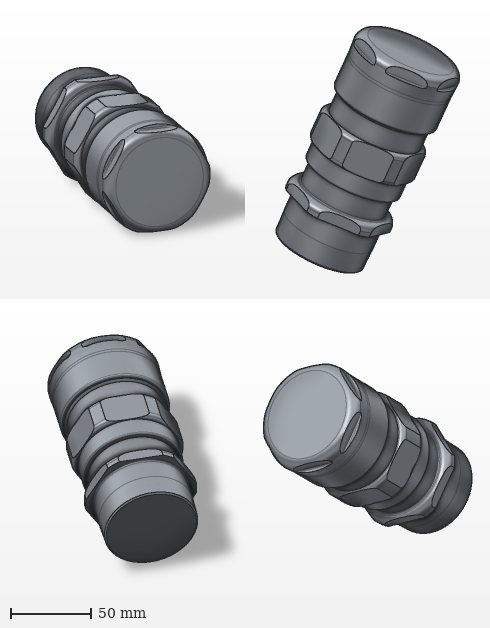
import cadquery as cq
import math


hex_sides = 6
hex_across_flats = 65.0
hex_side = hex_across_flats / math.sqrt(3)
hex_corner_radius = 35.4
root_fillet = 0.9

entry_face_radius = 28.6
entry_chamfer_length = 1.0
thread_radius = 30.13
thread_taper = 1 / 16
taper_end_x = 14.9
entry_taper_start_radius = thread_radius - (taper_end_x - entry_chamfer_length) * thread_taper / 2
entry_hex_x = 29.5
entry_hex_length = 8.0
entry_hex_fillet = 4.9
entry_hex_end_x = entry_hex_x + entry_hex_length
neck_radius = 28.7

body_x = 52.7
collar_radius = 32.0
collar_fillet = 1.0
body_hex_x = 65.5
body_hex_length = 21.9
body_hex_fillet = 3.3
body_hex_end_x = body_hex_x + body_hex_length
spigot_radius = 31.14

seal_x = 101.2
seal_flare_length = 1.5
seal_rim_radius = spigot_radius + seal_flare_length
seal_rim_width = 0.3

cap_x = seal_x + seal_flare_length + seal_rim_width
cap_radius = 34.8
cap_front_fillet = 1.5
cap_straight_end_x = 125.0
flare_blend_length = 2.1
cap_end_x = 143.2
cap_end_fillet = 6.3
cap_flats_x = 134.7
cutter_overrun = 1.5

flare_x = cap_straight_end_x + flare_blend_length
flare_slope = (hex_corner_radius - cap_radius) / (
    cap_end_x - cap_end_fillet - flare_x + flare_blend_length / 2
)
flare_radius = cap_radius + flare_slope * flare_blend_length / 2


def revolve_about_x(profile):
    return profile.revolve(360, (0, 0, 0), (1, 0, 0))


def hexagon_bar(start_x, end_x):
    """Hexagonal bar along X with flats facing +Z and -Z."""
    hexagon = cq.Workplane("YZ", origin=(start_x, 0, 0)).polygon(hex_sides, 2 * hex_side)
    return hexagon.extrude(end_x - start_x)


def disc(start_x, end_x, radius):
    return cq.Workplane("YZ", origin=(start_x, 0, 0)).circle(radius).extrude(end_x - start_x)


def make_entry():
    thread = revolve_about_x(
        cq.Workplane("XY")
        .moveTo(0, 0)
        .lineTo(0, entry_face_radius)
        .lineTo(entry_chamfer_length, entry_taper_start_radius)
        .lineTo(taper_end_x, thread_radius)
        .lineTo(entry_hex_x - root_fillet, thread_radius)
        .radiusArc((entry_hex_x, thread_radius + root_fillet), -root_fillet)
        .lineTo(entry_hex_x, 0)
        .close()
    )
    rounding = disc(entry_hex_x, entry_hex_end_x, hex_corner_radius)
    rounding = rounding.faces(">X").edges().fillet(entry_hex_fillet)
    hexagon = hexagon_bar(entry_hex_x, entry_hex_end_x).intersect(rounding)
    neck = revolve_about_x(
        cq.Workplane("XY")
        .moveTo(entry_hex_end_x, 0)
        .lineTo(entry_hex_end_x, neck_radius + root_fillet)
        .radiusArc((entry_hex_end_x + root_fillet, neck_radius), -root_fillet)
        .lineTo(body_x, neck_radius)
        .lineTo(body_x, 0)
        .close()
    )
    return thread.union(hexagon).union(neck)


def make_body():
    collar = disc(body_x, body_hex_x, collar_radius).faces("<X").edges().fillet(collar_fillet)
    rounding = disc(body_hex_x, body_hex_end_x, hex_corner_radius).edges().fillet(body_hex_fillet)
    hexagon = hexagon_bar(body_hex_x, body_hex_end_x).intersect(rounding)
    spigot = disc(body_hex_end_x, cap_x, spigot_radius)
    return collar.union(hexagon).union(spigot)


def make_seal():
    return revolve_about_x(
        cq.Workplane("XY")
        .moveTo(seal_x, spigot_radius)
        .lineTo(seal_x + seal_flare_length, seal_rim_radius)
        .lineTo(cap_x, seal_rim_radius)
        .lineTo(cap_x, spigot_radius)
        .close()
    )


def cap_envelope():
    """Closed cap before its flats are cut."""
    return revolve_about_x(
        cq.Workplane("XY")
        .moveTo(cap_x, 0)
        .lineTo(cap_x, cap_radius - cap_front_fillet)
        .radiusArc((cap_x + cap_front_fillet, cap_radius), cap_front_fillet)
        .lineTo(cap_straight_end_x, cap_radius)
        .tangentArcPoint((flare_x, flare_radius), relative=False)
        .lineTo(cap_end_x - cap_end_fillet, hex_corner_radius)
        .radiusArc((cap_end_x, hex_corner_radius - cap_end_fillet), cap_end_fillet)
        .lineTo(cap_end_x, 0)
        .close()
    )


def flat_cutter():
    """Block that clears the space above the +Z flat of the cap."""
    block = cq.Workplane("XY").box(
        cap_end_x - cap_flats_x + cutter_overrun, hex_side, hex_corner_radius, centered=(False, True, False)
    )
    block = block.edges("<X and <Z").fillet(root_fillet)
    return block.translate((cap_flats_x, 0, hex_across_flats / 2))


def make_cap():
    cap = cap_envelope()
    cutter = flat_cutter()
    for number in range(hex_sides):
        angle = number * 360 / hex_sides
        cap = cap.cut(cutter.rotate((0, 0, 0), (1, 0, 0), angle))
    return cap


entry = make_entry()
body = make_body()
seal = make_seal()
cap = make_cap()

result = cq.Compound.makeCompound([entry.val(), body.val(), seal.val(), cap.val()])